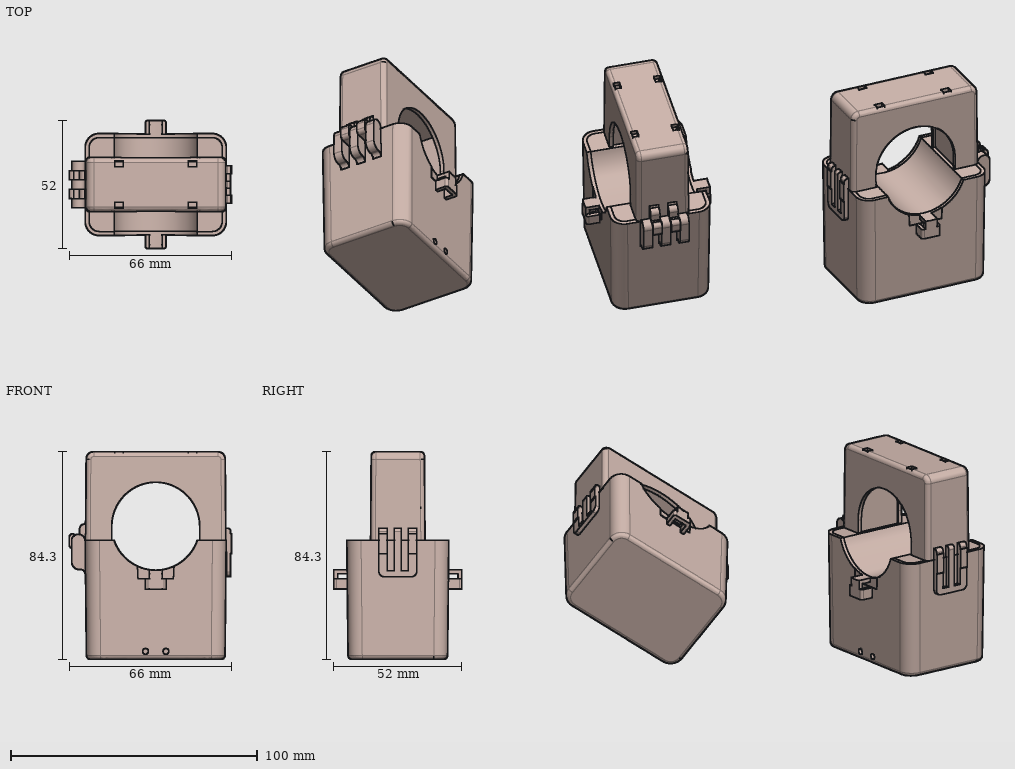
import cadquery as cq

height = 84.3
split_z = 48.4
wall = 1.7

housing_length = 57.3
housing_width = 41.5
housing_draft = 1.0
housing_corner = 5.7
housing_base_fillet = 1.8

cap_length = 57.0
cap_width = 22.2
cap_draft = 0.5
cap_edge_fillet = 1.85
cap_end_fillet = 3.1

bore_radius = 17.8
bore_z = 54.0

core_window_margin = 0.8

slot_length = 3.4
slot_width = 2.5
slot_x = 14.9
slot_y = 8.4

vent_radius = 1.2
vent_x = 4.1
vent_z = 3.3

hook_end_y = 26.01
stem_half = 2.6
stem_rise = 0.4
stem_top = bore_z - bore_radius + stem_rise
stem_bottom = 34.7
hook_plate = 1.7
bar_half = 4.2
bar_top = 32.8
bar_bottom = 28.5
bar_fillet = 1.0
hook_root_y = housing_width / 2 - 0.85
recess_depth = 0.3
recess_top = 38.8
recess_half_top = 7.5
recess_half_bottom = 7.2

knuckle_width = 3.8
knuckle_left = -34.1
knuckle_top = 50.8
knuckle_bottom = 36.4
knuckle_bottom_radius = 3.2
knuckle_flare = 1.7
hook_left = -35.15
lobe_top = 51.1
lobe_bottom = 44.9
lobe_radius = 1.7
lobe_right = -33.2
valley_z = 49.9
arm_left = -30.9
arm_top = 55.0
arm_radius = 2.1
arm_flare = 1.0

latch_half = 7.7
latch_top = 53.3
latch_bottom = 33.55
latch_face = 30.4
latch_corner_radius = 2.1
tongue_half = 1.4
window_half = 4.3
latch_bar_height = 2.5
pad_face = 30.8
pad_top = 51.1
pad_bottom = 42.9
latch_top_radius = 1.35

root = 0.85


def tapered_block(bottom_z, top_z, bottom_size, top_size):
    """Block centred on Z whose rectangular section changes evenly with height."""
    return (
        cq.Workplane("XY", origin=(0, 0, bottom_z))
        .rect(*bottom_size)
        .workplane(offset=top_z - bottom_z)
        .rect(*top_size)
        .loft(ruled=True, combine=True)
    )


def box(x_range, y_range, z_range):
    """Box between the given limits."""
    size = [end - start for start, end in (x_range, y_range, z_range)]
    corner = (x_range[0], y_range[0], z_range[0])
    return cq.Workplane("XY", origin=corner).box(*size, centered=False)


def along_y(profile, middle_y, width):
    """Extrude a closed XZ profile by width, centred on middle_y."""
    return profile.extrude(width / 2, both=True).translate((0, middle_y, 0))


def housing_block(inset, bottom_z):
    """Drafted, round-cornered housing shape, its sides moved in by inset."""
    narrowing = housing_draft * (split_z - bottom_z) / split_z
    top_size = (housing_length - 2 * inset, housing_width - 2 * inset)
    bottom_size = [side - narrowing for side in top_size]
    block = tapered_block(bottom_z, split_z, bottom_size, top_size)
    return block.edges("not(#Z)").fillet(housing_corner - inset)


def cap_block(inset, top_z):
    """Drafted cap shape with sharp edges, its sides moved in by inset."""
    narrowing = cap_draft * (top_z - split_z) / (height - split_z)
    bottom_size = (cap_length - 2 * inset, cap_width - 2 * inset)
    top_size = [side - narrowing for side in bottom_size]
    return tapered_block(split_z, top_z, bottom_size, top_size)


def round_bore():
    """Round cutter for the lower part of the cable opening."""
    return along_y(cq.Workplane("XZ").center(0, bore_z).circle(bore_radius), 0, 2 * hook_end_y)


def arched_bore():
    """Cutter for the cap: half round above, straight sides down to the split."""
    profile = (
        cq.Workplane("XZ")
        .moveTo(-bore_radius, split_z)
        .lineTo(-bore_radius, bore_z)
        .threePointArc((0, bore_z + bore_radius), (bore_radius, bore_z))
        .lineTo(bore_radius, split_z)
        .close()
    )
    return along_y(profile, 0, 2 * cap_width)


def tie_hook():
    """Hook on the -Y side: a stem plate bent down, with an ear on each side at its foot."""
    y_range = (-hook_end_y, -hook_root_y)
    stem = box((-stem_half, stem_half), y_range, (stem_bottom, stem_top))
    plate = box((-stem_half, stem_half), (-hook_end_y, hook_plate - hook_end_y), (bar_bottom, stem_top))
    bar = box((-bar_half, bar_half), y_range, (bar_bottom, bar_top))
    bar = bar.edges("|Z and <Y").fillet(bar_fillet)
    gap_y = (hook_plate - hook_end_y, recess_depth - housing_width / 2)
    gap = box((-stem_half, stem_half), gap_y, (bar_bottom, bar_top))
    return bar.cut(gap).union(stem).union(plate)


def tie_recess():
    """Shallow tapering recess in the -Y wall behind the tie hook."""
    return (
        cq.Workplane("XZ", origin=(0, recess_depth - housing_width / 2, 0))
        .polyline([
            (-recess_half_bottom, bar_top),
            (recess_half_bottom, bar_top),
            (recess_half_top, recess_top),
            (-recess_half_top, recess_top),
        ])
        .close()
        .extrude(hook_end_y)
    )


def housing_knuckle(middle_y):
    """Hinge knuckle with a half-round top and a flare into the wall below."""
    wall_x = -housing_length / 2
    inner_x = wall_x + root
    top_radius = (wall_x - knuckle_left) / 2
    shoulder_z = knuckle_top - top_radius
    profile = (
        cq.Workplane("XZ")
        .moveTo(wall_x, shoulder_z)
        .threePointArc((wall_x - top_radius, knuckle_top), (knuckle_left, shoulder_z))
        .lineTo(knuckle_left, knuckle_bottom + knuckle_bottom_radius)
        .radiusArc((knuckle_left + knuckle_bottom_radius, knuckle_bottom), -knuckle_bottom_radius)
        .lineTo(wall_x - knuckle_flare, knuckle_bottom)
        .radiusArc((wall_x, knuckle_bottom - knuckle_flare), knuckle_flare)
        .lineTo(inner_x, knuckle_bottom - knuckle_flare)
        .lineTo(inner_x, shoulder_z)
        .close()
    )
    return along_y(profile, middle_y, knuckle_width)


def cap_knuckle(middle_y):
    """Hinge arm that steps down from the cap wall to a rounded lobe beside the housing."""
    wall_x = -cap_length / 2
    inner_x = wall_x + root
    housing_x = -housing_length / 2
    profile = (
        cq.Workplane("XZ")
        .moveTo(inner_x, split_z)
        .lineTo(inner_x, arm_top + arm_flare)
        .lineTo(wall_x, arm_top + arm_flare)
        .lineTo(arm_left + arm_radius, arm_top)
        .radiusArc((arm_left, arm_top - arm_radius), -arm_radius)
        .lineTo(arm_left, valley_z)
        .lineTo(lobe_right, valley_z)
        .lineTo(lobe_right, lobe_top)
        .lineTo(hook_left + lobe_radius, lobe_top)
        .radiusArc((hook_left, lobe_top - lobe_radius), -lobe_radius)
        .lineTo(hook_left, lobe_bottom + lobe_radius)
        .radiusArc((hook_left + lobe_radius, lobe_bottom), -lobe_radius)
        .lineTo(housing_x, lobe_bottom)
        .lineTo(housing_x, split_z)
        .close()
    )
    return along_y(profile, middle_y, knuckle_width)


def latch():
    """Latch plate with two open windows, a tongue between them and a bar along the bottom."""
    inner_x = cap_length / 2 - root
    housing_x = housing_length / 2
    plate = box((inner_x, latch_face), (-latch_half, latch_half), (latch_bottom, latch_top))
    plate = plate.cut(box((inner_x, housing_x), (-latch_half, latch_half), (latch_bottom, split_z)))
    plate = plate.edges("|Y and >X and >Z").fillet(latch_top_radius)
    plate = plate.edges("|X and <Z").fillet(latch_corner_radius)
    window_x = (housing_x - root, pad_face)
    bar_top_z = latch_bottom + latch_bar_height
    for side in (-1, 1):
        window_y = sorted((side * tongue_half, side * window_half))
        window = box(window_x, window_y, (bar_top_z, latch_top))
        pad_y = sorted((side * window_half, side * latch_half))
        pad = box((latch_face - root, pad_face), pad_y, (pad_bottom, pad_top))
        plate = plate.cut(window).union(pad)
    return plate


def make_housing():
    body = housing_block(0, 0).faces("<Z").edges().fillet(housing_base_fillet)
    vents = (
        cq.Workplane("XZ", origin=(0, -housing_width / 2, 0))
        .pushPoints([(-vent_x, vent_z), (vent_x, vent_z)])
        .circle(vent_radius)
        .extrude(-2 * wall)
    )
    recess = tie_recess()
    hook = tie_hook()
    body = body.cut(vents)
    body = body.cut(recess).cut(recess.mirror("XZ"))
    body = body.union(hook).union(hook.mirror("XZ"))
    for place in (-2, 0, 2):
        body = body.union(housing_knuckle(place * knuckle_width))
    return body.cut(housing_block(wall, wall)).cut(round_bore())


def make_housing_core():
    return housing_block(wall, wall).cut(round_bore())


def make_cap():
    body = cap_block(0, height)
    body = body.edges("|Y and >Z").fillet(cap_end_fillet)
    body = body.faces("<Y or >Y").edges("not(<Z)").fillet(cap_edge_fillet)
    for place in (-1, 1):
        body = body.union(cap_knuckle(place * knuckle_width))
    body = body.union(latch())
    slots = (
        cq.Workplane("XY", origin=(0, 0, height - wall))
        .rect(2 * slot_x, 2 * slot_y, forConstruction=True)
        .vertices()
        .rect(slot_length, slot_width)
        .extrude(wall)
    )
    return body.cut(slots).cut(cap_block(wall, height - wall)).cut(arched_bore())


def make_cap_core():
    half_window = bore_radius + core_window_margin
    window = box((-half_window, half_window), (-cap_width, cap_width), (split_z, bore_z + half_window))
    return cap_block(wall, height - wall).cut(window)


housing = make_housing()
housing_core = make_housing_core()
cap = make_cap()
cap_core = make_cap_core()

result = cq.Compound.makeCompound(
    [housing.val(), housing_core.val(), cap.val(), cap_core.val()]
)